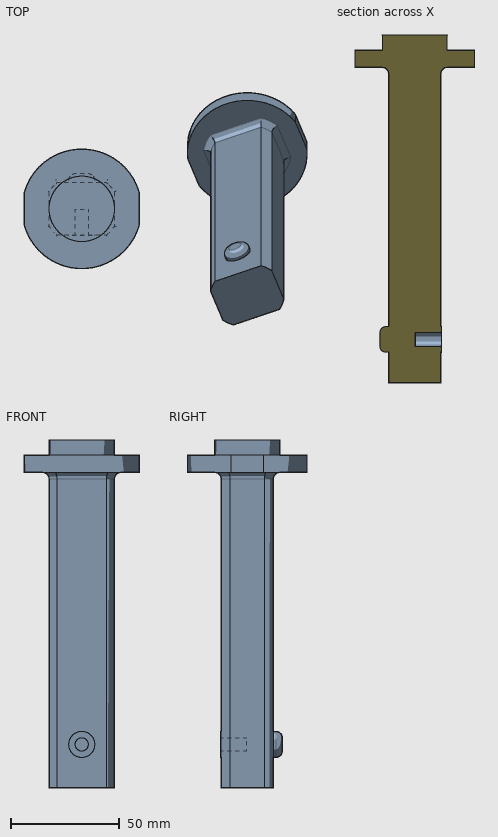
import cadquery as cq

total_height = 160.0

spigot_diameter = 30.0
spigot_height = 7.0
flange_diameter = 55.0
flange_width = 53.0
flange_thickness = 8.0

shaft_width = spigot_diameter
shaft_depth = 24.0
shaft_front_flat = 22.7
shaft_side_flat = 15.8
shaft_corner_radius = 16.6
neck_fillet_radius = 3.0

pin_diameter = 12.0
pin_height = 20.0
pin_head_length = 4.2
pin_front_length = 0.3
pin_bore_diameter = 6.0
pin_bore_depth = shaft_depth / 2
pin_head_rounding = (pin_diameter - pin_bore_diameter) / 2

shaft_height = total_height - spigot_height - flange_thickness
spigot_base = shaft_height + flange_thickness
pin_front_y = -shaft_depth / 2 - pin_front_length
pin_length = pin_front_length + shaft_depth + pin_head_length


def make_shaft():
    """Rectangular bar standing on Z = 0, each corner replaced by a shallow outward arc."""
    half_width = shaft_width / 2
    half_depth = shaft_depth / 2
    half_front = shaft_front_flat / 2
    half_side = shaft_side_flat / 2
    outline = (
        cq.Workplane("XY")
        .moveTo(half_width, -half_side)
        .lineTo(half_width, half_side)
        .radiusArc((half_front, half_depth), -shaft_corner_radius)
        .lineTo(-half_front, half_depth)
        .radiusArc((-half_width, half_side), -shaft_corner_radius)
        .lineTo(-half_width, -half_side)
        .radiusArc((-half_front, -half_depth), -shaft_corner_radius)
        .lineTo(half_front, -half_depth)
        .radiusArc((half_width, -half_side), -shaft_corner_radius)
        .close()
    )
    return outline.extrude(shaft_height)


def make_flange():
    """Disc with two flats facing +X and -X."""
    underside = cq.Workplane("XY", origin=(0, 0, shaft_height))
    disc = underside.circle(flange_diameter / 2).extrude(flange_thickness)
    flats = cq.Workplane("XY").rect(flange_width, flange_diameter).extrude(total_height)
    return disc.intersect(flats)


def make_spigot():
    """Plain round stub on top of the flange."""
    return cq.Workplane("XY", origin=(0, 0, spigot_base)).circle(spigot_diameter / 2).extrude(spigot_height)


def add_neck_fillet(body):
    """Blend the shaft into the underside of the flange."""
    margin = neck_fillet_radius / 2
    joint = cq.selectors.BoxSelector(
        (-shaft_width / 2 - margin, -shaft_depth / 2 - margin, shaft_height - margin),
        (shaft_width / 2 + margin, shaft_depth / 2 + margin, shaft_height + margin),
        boundingbox=True,
    )
    return body.edges(joint).fillet(neck_fillet_radius)


def along_pin(diameter, length):
    """Cylinder on the pin axis, starting at the pin's front face and running toward +Y."""
    plane = cq.Plane(origin=(0, pin_front_y, pin_height), xDir=(1, 0, 0), normal=(0, 1, 0))
    return cq.Workplane(plane).circle(diameter / 2).extrude(length)


pin = along_pin(pin_diameter, pin_length).faces(">Y").edges().fillet(pin_head_rounding)
pin_bore = along_pin(pin_bore_diameter, pin_bore_depth)

body = add_neck_fillet(make_shaft().union(make_flange()))
result = body.union(make_spigot()).union(pin).cut(pin_bore)